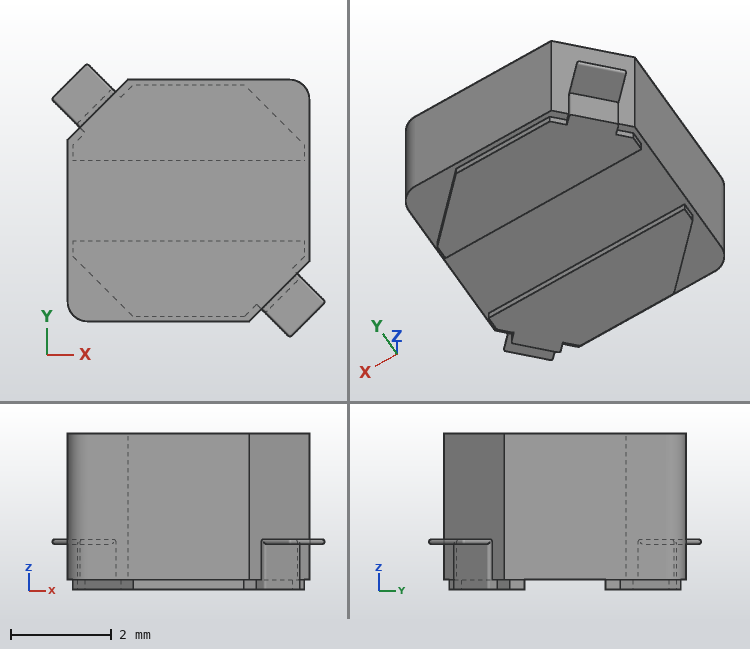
import cadquery as cq
import math

body_width = 4.8
total_height = 3.1
corner_radius = 0.4
corner_bevel = 1.2

pad_height = 0.2
pad_width = 4.6
pad_bevel = 1.2
pad_gap = 1.6

terminal_width = 1.0
terminal_thickness = 0.1
terminal_reach = 3.345
terminal_top = 1.0
terminal_edge_radius = 0.048
terminal_angles = (-45, 135)


def bevel_distance(width, bevel):
    """Distance from the part's axis to the face of a bevelled corner."""
    return (width - bevel) / math.sqrt(2)


def make_body():
    """Block above the pads, rounded on one diagonal and bevelled on the other."""
    block = (
        cq.Workplane("XY")
        .workplane(offset=pad_height)
        .rect(body_width, body_width)
        .extrude(total_height - pad_height)
    )
    for corner in ("<(1,1,0)", ">(1,1,0)"):
        block = block.edges("|Z").edges(corner).fillet(corner_radius)
    for corner in ("<(1,-1,0)", ">(1,-1,0)"):
        block = block.edges("|Z").edges(corner).chamfer(corner_bevel)
    return block


def make_pads():
    """Two pads: a bevelled square split by a central channel along X."""
    plate = (
        cq.Workplane("XY")
        .rect(pad_width, pad_width)
        .extrude(pad_height)
        .edges("|Z")
        .chamfer(pad_bevel)
    )
    channel = cq.Workplane("XY").rect(pad_width, pad_gap).extrude(pad_height)
    return plate.cut(channel)


def make_terminal():
    """Terminal pointing along +X: an outward tab, a leg down the bevel and a foot joining the pad."""
    leg_inner = bevel_distance(body_width, corner_bevel)
    leg_outer = leg_inner + terminal_thickness
    foot_inner = bevel_distance(pad_width, pad_bevel)
    tab_bottom = terminal_top - terminal_thickness

    bent_strip = (
        cq.Workplane("XZ")
        .moveTo(leg_inner, 0)
        .lineTo(leg_outer, 0)
        .lineTo(leg_outer, tab_bottom)
        .lineTo(terminal_reach, tab_bottom)
        .lineTo(terminal_reach, terminal_top)
        .lineTo(leg_inner, terminal_top)
        .close()
        .extrude(terminal_width / 2, both=True)
    )
    tab_end = bent_strip.faces(">X").edges()
    tab_top_sides = bent_strip.faces(">Z").edges("|X")
    tab_bottom_sides = bent_strip.faces("<Z[1]").edges("|X")
    leg_sides = bent_strip.faces(">X[1]").edges("|Z")
    rounded_edges = tab_end.add(tab_top_sides).add(tab_bottom_sides).add(leg_sides)
    bent_strip = rounded_edges.fillet(terminal_edge_radius)

    foot_length = leg_inner - foot_inner
    foot = (
        cq.Workplane("XY")
        .center(foot_inner + foot_length / 2, 0)
        .rect(foot_length, terminal_width)
        .extrude(pad_height)
    )
    return bent_strip.union(foot)


result = make_body().union(make_pads())
for angle in terminal_angles:
    result = result.union(make_terminal().rotate((0, 0, 0), (0, 0, 1), angle))